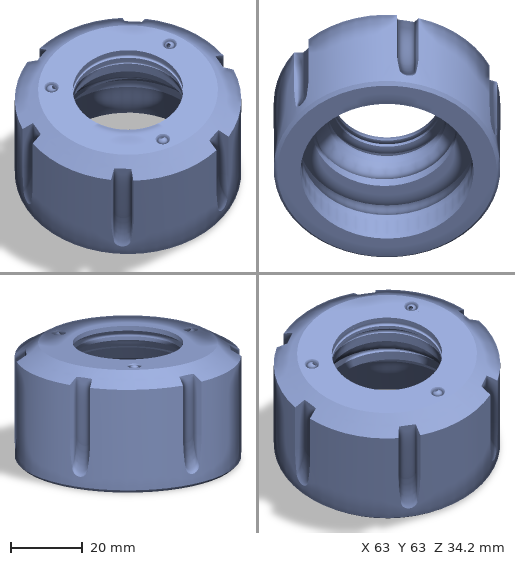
import cadquery as cq
import math

nut_height = 34.0
nut_radius = 31.5
top_face_radius = 25.0
top_cone_angle = 30.0
bottom_chamfer = 0.95

mouth_radius = 15.4
groove_radius = 17.9
groove_top_depth = 1.4
groove_bottom_depth = 3.0
seal_seat_radius = 17.9
seal_seat_top_depth = 4.1
collar_radius = 16.65
collar_top_depth = 6.7
collet_cone_top_depth = 9.75
collet_cone_bottom_depth = 15.2
collet_cone_angle = 30.0
relief_top_depth = 18.15
relief_bottom_depth = 22.05
relief_radius = 25.0
thread_top_depth = 23.7
thread_radius = 24.05

eccentric_radius = 20.1
eccentric_offset = 2.15

slot_count = 6
slot_floor_radius = 28.5
slot_half_width = 2.4
slot_wall_angle = 14.0
runout_radius = 12.6
runout_start_depth = 19.45
slot_clearance = 0.6
slot_top_radius = nut_radius + slot_clearance
runout_stations = 6

jet_count = 3
jet_circle_radius = 21.3
jet_first_angle = 90.0
jet_radius = 3.0
jet_length = 5.05
socket_top_radius = 2.0
socket_bottom_radius = 1.45
ball_radius = 1.6
ball_rise = 0.25
nozzle_radius = 0.6
nozzle_tilt = 28.0


def tan_deg(angle):
    return math.tan(math.radians(angle))


def ring_body():
    cone_drop = (nut_radius - top_face_radius) * tan_deg(top_cone_angle)
    outline = [
        (0, 0),
        (nut_radius - bottom_chamfer, 0),
        (nut_radius, bottom_chamfer),
        (nut_radius, nut_height - cone_drop),
        (top_face_radius, nut_height),
        (0, nut_height),
    ]
    return cq.Workplane("XZ").polyline(outline).close().revolve(360, (0, 0), (0, 1))


def bore():
    cone_length = collet_cone_bottom_depth - collet_cone_top_depth
    collet_cone_radius = collar_radius + cone_length * tan_deg(collet_cone_angle)
    radius_and_depth = [
        (0, 0),
        (mouth_radius, 0),
        (mouth_radius, groove_top_depth),
        (groove_radius, groove_top_depth),
        (groove_radius, groove_bottom_depth),
        (mouth_radius, groove_bottom_depth),
        (mouth_radius, seal_seat_top_depth),
        (seal_seat_radius, seal_seat_top_depth),
        (seal_seat_radius, collar_top_depth),
        (collar_radius, collar_top_depth),
        (collar_radius, collet_cone_top_depth),
        (collet_cone_radius, collet_cone_bottom_depth),
        (mouth_radius, collet_cone_bottom_depth),
        (mouth_radius, relief_top_depth),
        (relief_radius, relief_top_depth),
        (relief_radius, relief_bottom_depth),
        (thread_radius, thread_top_depth),
        (thread_radius, nut_height),
        (0, nut_height),
    ]
    outline = [(radius, nut_height - depth) for radius, depth in radius_and_depth]
    return cq.Workplane("XZ").polyline(outline).close().revolve(360, (0, 0), (0, 1))


def eccentric_recess():
    return (
        cq.Workplane("XY", origin=(0, eccentric_offset, nut_height - relief_top_depth))
        .circle(eccentric_radius)
        .extrude(relief_top_depth - collet_cone_bottom_depth)
    )


def slot_cutter():
    """Volume milled away for one slot, on the +X side."""
    slot_depth = slot_top_radius - slot_floor_radius
    top_half_width = slot_half_width + slot_depth * tan_deg(slot_wall_angle)
    runout_start = nut_height - runout_start_depth
    section = [
        (slot_floor_radius, -slot_half_width),
        (slot_top_radius, -top_half_width),
        (slot_top_radius, top_half_width),
        (slot_floor_radius, slot_half_width),
    ]
    sketch_plane = cq.Workplane("XY", origin=(0, 0, runout_start))
    straight = sketch_plane.polyline(section).close().extrude(runout_start_depth)

    runout_angle = math.degrees(math.acos(1 - slot_depth / runout_radius))
    lift_axis = slot_floor_radius + runout_radius
    runout = sketch_plane.polyline(section).close().revolve(runout_angle, (lift_axis, 0.6), (lift_axis, 0))

    feet = []
    for station in range(runout_stations):
        angle = math.radians(runout_angle * station / (runout_stations - 1))
        center = cq.Vector(
            lift_axis - runout_radius * math.cos(angle),
            0,
            runout_start - runout_radius * math.sin(angle),
        )
        feet.append(cq.Wire.makeCircle(slot_half_width, center, cq.Vector(1, 0, 0)))
    rounded_end = cq.Workplane(cq.Solid.makeLoft(feet))
    return straight.union(runout).union(rounded_end)


def jet_blank():
    """Outside of one jet, on the +X side, and shape of its seat in the nut."""
    base = cq.Workplane("XY", origin=(jet_circle_radius, 0, nut_height - jet_length))
    return base.circle(jet_radius).extrude(jet_length)


def coolant_jet():
    """One jet on the +X side: a sleeve with a ball in its conical socket and a tilted nozzle."""
    ball_center = nut_height + ball_rise - ball_radius
    socket_bottom = ball_center + math.sqrt(ball_radius**2 - socket_bottom_radius**2)
    socket_outline = [
        (0, socket_bottom),
        (socket_bottom_radius, socket_bottom),
        (socket_top_radius, nut_height),
        (0, nut_height),
    ]
    socket = (
        cq.Workplane("XZ").polyline(socket_outline).close().revolve(360, (0, 0), (0, 1))
        .translate((jet_circle_radius, 0, 0))
    )
    ball = cq.Workplane("XY", origin=(jet_circle_radius, 0, ball_center)).sphere(ball_radius)
    tilt = math.radians(nozzle_tilt)
    nozzle = cq.Workplane(
        cq.Solid.makeCylinder(
            nozzle_radius,
            2 * ball_radius,
            cq.Vector(jet_circle_radius, 0, ball_center),
            cq.Vector(-math.sin(tilt), 0, math.cos(tilt)),
        )
    )
    return jet_blank().cut(socket).union(ball).cut(nozzle)


def around(shape, count, first_angle):
    """Copies of a shape, evenly spaced about the nut axis."""
    return [shape.rotate((0, 0, 0), (0, 0, 1), first_angle + 360 / count * i) for i in range(count)]


nut = ring_body().cut(bore()).cut(eccentric_recess())
for slot in around(slot_cutter(), slot_count, 0):
    nut = nut.cut(slot)
for seat in around(jet_blank(), jet_count, jet_first_angle):
    nut = nut.cut(seat)

jets = around(coolant_jet(), jet_count, jet_first_angle)

result = cq.Compound.makeCompound([nut.val(), *[jet.val() for jet in jets]])